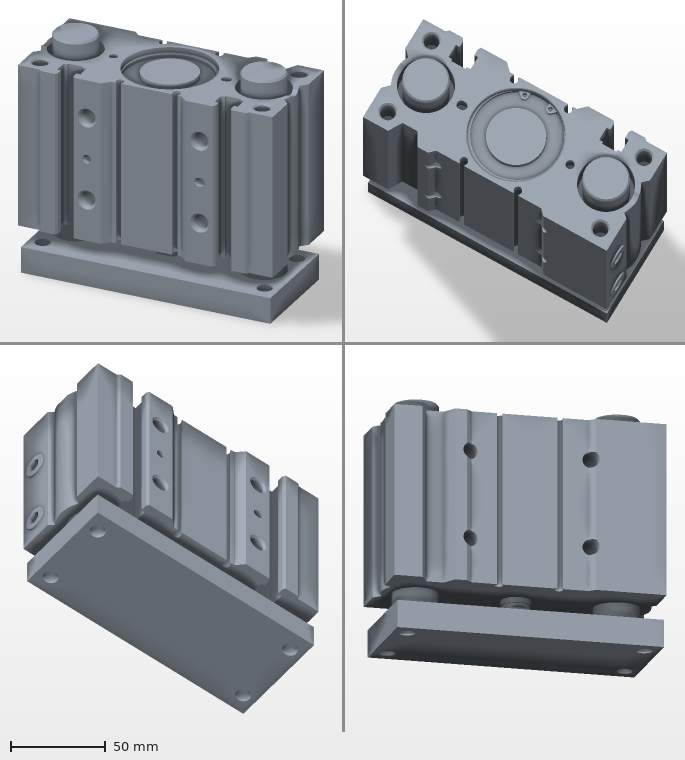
import cadquery as cq
import math


PLATE_THICKNESS = 15
STROKE_GAP = 13.0
HOUSING_HEIGHT = 94.0
GUIDE_ROD_PROTRUSION = 9.5
HOUSING_BOTTOM = PLATE_THICKNESS + STROKE_GAP
HOUSING_TOP = HOUSING_BOTTOM + HOUSING_HEIGHT

LEFT_X = -74.0
RIGHT_X = 75
FRONT_Y = -33
CORNER_Y = -31.5
BACK_Y = 32.0
PAD_OUTER_X = 61.5
PAD_BEVEL_X = 1.6
FRONT_PAD_INNER_X = 24.8
FRONT_RECESS_HALF = 20.5
FRONT_RECESS_Y = -28.8
BACK_PAD_INNER_X = 35.2
BACK_RECESS_HALF = 32.1
BACK_RECESS_Y = 28.8
SIDE_BULGE_RADIUS = 18.5

SLOT_X = 46.0
SLOT_NECK = 9
SLOT_MOUTH_BEVEL = 1.0
SLOT_MOUTH_BEVEL_DEPTH = 1.6
SLOT_HEAD = 13.5
SLOT_HEAD_FRONT_Y = -27.6
SLOT_HEAD_BACK_Y = -19.8
SLOT_FLOOR_Y = -18.6
DOVETAIL_X = 50.7
DOVETAIL_MOUTH = 17.8
DOVETAIL_FLOOR = 9.3
DOVETAIL_FLOOR_Y = 24.3
KEY_GROOVE_X = 16.5
KEY_GROOVE_Y = 26.4
KEY_GROOVE_DIAMETER = 4.5
KEY_GROOVE_MOUTH = 3

GUIDE_X = 55.0
GUIDE_ROD_DIAMETER = 25.0
GUIDE_ROD_BEVEL = 0.9
GUIDE_ROD_BEVEL_HEIGHT = 1.2
GUIDE_RELIEF_DIAMETER = 30.8
GUIDE_RELIEF_DEPTH = 15
NOTCH_WIDTH = 8.4
NOTCH_DEPTH = 1.2

HEAD_DIAMETER = 52.0
HEAD_RIM_BEVEL = 0.5
HEAD_DEPTH = 5.5
BOSS_DIAMETER = 32.0
BOSS_HEIGHT = 3.3
RING_THICKNESS = 2.0
RING_INNER_DIAMETER = 49.8
RING_OFFSET = 1.2
EAR_X = 7.8
EAR_Y = -22.6
EAR_RADIUS = 2.4
EAR_GAP_X = 5.7
EAR_HOLE_DIAMETER = 2.5

DRILL_TIP_ANGLE = 118
CORNER_HOLE_X = 65.0
CORNER_HOLE_Y = 23.0
CORNER_HOLE_DIAMETER = 8.4
CORNER_HOLE_MOUTH = 10.4
CORNER_HOLE_DEPTH = 18
LOCATING_X = 33
PIN_DIAMETER = 5.0
PIN_SLOT_LENGTH = 6
PIN_DEPTH = 7.5
SIDE_HOLE_MIDDLE = 48
SIDE_HOLE_PITCH = 48
SIDE_HOLE_DIAMETER = 8.5
SIDE_HOLE_MOUTH = 11.0

PLUG_Y = 21.5
PLUG_HEIGHTS = (15, 58.8)
PLUG_DIAMETER = 14.0
PLUG_PROTRUSION = 1.0
PLUG_BEVEL = 0.3
HEX_ACROSS_FLATS = 7.0
HEX_DEPTH = 5.2

PLATE_LENGTH = 146.0
PLATE_WIDTH = 60
PLATE_HOLE_DIAMETER = 8.5
PLATE_HOLE_Y = 20.0
PISTON_ROD_DIAMETER = 15.3
PISTON_COLLAR_DIAMETER = 16.5
PISTON_COLLAR_LENGTH = 2.8
FLAT_WIDTH = 12.8
FLAT_HEIGHT = 7.8
FLAT_RUNOUT = 1.2

SIDES = (-1, 1)


def cylinder(diameter, height, x, y, z):
    """Upright cylinder standing on z."""
    return cq.Workplane("XY", origin=(x, y, z)).circle(diameter / 2).extrude(height)


def cone_frustum(bottom_diameter, top_diameter, height, z):
    """Upright frustum about the Z axis, standing on z."""
    cone = cq.Solid.makeCone(bottom_diameter / 2, top_diameter / 2, height, cq.Vector(0, 0, z))
    return cq.Workplane(cone)


def full_height(sketch):
    """Extrude a sketch drawn on the housing bottom through the whole housing."""
    return sketch.extrude(HOUSING_HEIGHT)


def housing_sketch():
    return cq.Workplane("XY", origin=(0, 0, HOUSING_BOTTOM))


def bulge_x(y):
    """Distance from the cylinder axis to the rounded side wall at a given y."""
    return GUIDE_X + math.sqrt(SIDE_BULGE_RADIUS**2 - y**2)


def housing_block():
    right_mouth_y, right_root_y = 13.0, 9.0
    left_back_mouth_y, left_back_root_y = 11.1, 8.8
    left_front_mouth_y, left_front_root_y = -13.6, -10.2
    bulge_tip_x = bulge_x(0)
    outline = (
        housing_sketch()
        .moveTo(LEFT_X, CORNER_Y)
        .lineTo(-PAD_OUTER_X, CORNER_Y)
        .lineTo(PAD_BEVEL_X - PAD_OUTER_X, FRONT_Y)
        .lineTo(-FRONT_PAD_INNER_X, FRONT_Y)
        .lineTo(-FRONT_RECESS_HALF, FRONT_RECESS_Y)
        .lineTo(FRONT_RECESS_HALF, FRONT_RECESS_Y)
        .lineTo(FRONT_PAD_INNER_X, FRONT_Y)
        .lineTo(PAD_OUTER_X - PAD_BEVEL_X, FRONT_Y)
        .lineTo(PAD_OUTER_X, CORNER_Y)
        .lineTo(RIGHT_X, CORNER_Y)
        .lineTo(RIGHT_X, -right_mouth_y)
        .lineTo(bulge_x(right_root_y), -right_root_y)
        .threePointArc((bulge_tip_x, 0), (bulge_x(right_root_y), right_root_y))
        .lineTo(RIGHT_X, right_mouth_y)
        .lineTo(RIGHT_X, BACK_Y)
        .lineTo(BACK_PAD_INNER_X, BACK_Y)
        .lineTo(BACK_RECESS_HALF, BACK_RECESS_Y)
        .lineTo(-BACK_RECESS_HALF, BACK_RECESS_Y)
        .lineTo(-BACK_PAD_INNER_X, BACK_Y)
        .lineTo(LEFT_X, BACK_Y)
        .lineTo(LEFT_X, left_back_mouth_y)
        .lineTo(-bulge_x(left_back_root_y), left_back_root_y)
        .threePointArc((-bulge_tip_x, 0), (-bulge_x(left_front_root_y), left_front_root_y))
        .lineTo(LEFT_X, left_front_mouth_y)
        .close()
    )
    return full_height(outline)


def t_slot(x):
    """Sensor slot in the front face: bevelled mouth, wide head and a narrow floor."""
    neck = SLOT_NECK / 2
    mouth = neck + SLOT_MOUTH_BEVEL
    head = SLOT_HEAD / 2
    half = [
        (mouth, FRONT_Y),
        (neck, FRONT_Y + SLOT_MOUTH_BEVEL_DEPTH),
        (neck, SLOT_HEAD_FRONT_Y),
        (head, SLOT_HEAD_FRONT_Y),
        (head, SLOT_HEAD_BACK_Y),
        (neck, SLOT_HEAD_BACK_Y),
        (neck, SLOT_FLOOR_Y),
    ]
    mirrored = [(-dx, y) for dx, y in reversed(half)]
    points = [(x + dx, y) for dx, y in half + mirrored]
    return full_height(housing_sketch().polyline(points).close())


def dovetail_groove():
    points = [
        (DOVETAIL_X - DOVETAIL_MOUTH / 2, BACK_Y),
        (DOVETAIL_X + DOVETAIL_MOUTH / 2, BACK_Y),
        (DOVETAIL_X + DOVETAIL_FLOOR / 2, DOVETAIL_FLOOR_Y),
        (DOVETAIL_X - DOVETAIL_FLOOR / 2, DOVETAIL_FLOOR_Y),
    ]
    return full_height(housing_sketch().polyline(points).close())


def key_groove(x, side):
    """Round groove with a narrow mouth into the front (-1) or back (+1) recess."""
    y = side * KEY_GROOVE_Y
    mouth_length = BACK_Y - KEY_GROOVE_Y
    round_part = cylinder(KEY_GROOVE_DIAMETER, HOUSING_HEIGHT, x, y, HOUSING_BOTTOM)
    mouth_sketch = housing_sketch().center(x, y + side * mouth_length / 2)
    return round_part.union(full_height(mouth_sketch.rect(KEY_GROOVE_MOUTH, mouth_length)))


def guide_bore(side):
    """Sliding bore with a wider relief at the top and an arched notch to the side wall."""
    x = side * GUIDE_X
    bore = cylinder(GUIDE_ROD_DIAMETER, HOUSING_HEIGHT, x, 0, HOUSING_BOTTOM)
    relief = cylinder(GUIDE_RELIEF_DIAMETER, GUIDE_RELIEF_DEPTH, x, 0, HOUSING_TOP - GUIDE_RELIEF_DEPTH)
    notch = (
        cq.Workplane("YZ", origin=(x, 0, HOUSING_TOP))
        .moveTo(-NOTCH_WIDTH / 2, 0)
        .threePointArc((0, -NOTCH_DEPTH), (NOTCH_WIDTH / 2, 0))
        .close()
        .extrude(side * SIDE_BULGE_RADIUS)
    )
    return bore.union(relief).union(notch)


def head_recess():
    """Round recess in the top, bevelled at its rim, around the central boss."""
    floor_z = HOUSING_TOP - HEAD_DEPTH
    recess = cylinder(HEAD_DIAMETER, HEAD_DEPTH, 0, 0, floor_z)
    rim_diameter = HEAD_DIAMETER + 2 * HEAD_RIM_BEVEL
    rim = cone_frustum(HEAD_DIAMETER, rim_diameter, HEAD_RIM_BEVEL, HOUSING_TOP - HEAD_RIM_BEVEL)
    boss = cylinder(BOSS_DIAMETER, BOSS_HEIGHT, 0, 0, floor_z)
    return recess.union(rim).cut(boss)


def ring_ear(side):
    """Plier ear of the retaining ring, without its hole, running out past the bore wall."""
    arc_mid = EAR_RADIUS * math.sqrt(0.5)
    top_y = EAR_Y + EAR_RADIUS
    run = HEAD_DIAMETER / 2 + EAR_Y
    return (
        cq.Workplane("XY", origin=(0, 0, HOUSING_TOP - HEAD_DEPTH))
        .moveTo(side * EAR_GAP_X, -HEAD_DIAMETER / 2)
        .lineTo(side * EAR_GAP_X, EAR_Y)
        .threePointArc(
            (side * EAR_X, top_y),
            (side * (EAR_X + arc_mid), EAR_Y + arc_mid),
        )
        .lineTo(side * (EAR_X + arc_mid + run), EAR_Y + arc_mid - run)
        .lineTo(side * EAR_X, -HEAD_DIAMETER / 2)
        .close()
        .extrude(RING_THICKNESS)
    )


def retaining_ring():
    """Ring lying on the recess floor, thickest at the back and open at the front."""
    floor_z = HOUSING_TOP - HEAD_DEPTH
    bore_disc = cylinder(HEAD_DIAMETER, RING_THICKNESS, 0, 0, floor_z)
    ring = bore_disc.cut(cylinder(RING_INNER_DIAMETER, RING_THICKNESS, 0, -RING_OFFSET, floor_z))
    for side in SIDES:
        ear = ring_ear(side).intersect(bore_disc)
        ear = ear.cut(cylinder(EAR_HOLE_DIAMETER, RING_THICKNESS, side * EAR_X, EAR_Y, floor_z))
        ring = ring.union(ear)
    return ring


def drill_tip_height(diameter):
    return diameter / 2 / math.tan(math.radians(DRILL_TIP_ANGLE / 2))


def blind_hole(diameter, depth):
    """Drilled hole with a conical bottom, entering downwards at the origin."""
    tip = drill_tip_height(diameter)
    return cylinder(diameter, depth, 0, 0, -depth).union(cone_frustum(0, diameter, tip, -depth - tip))


def pin_slot():
    """Locating slot, a drilled hole widened along X, entering downwards at the origin."""
    slot = cq.Workplane("XY").slot2D(PIN_SLOT_LENGTH, PIN_DIAMETER).extrude(-PIN_DEPTH)
    return slot.union(blind_hole(PIN_DIAMETER, PIN_DEPTH))


def mouth_bevel(diameter, mouth_diameter):
    """Countersink, 45 degrees, entering downwards at the origin."""
    depth = (mouth_diameter - diameter) / 2
    return cone_frustum(diameter, mouth_diameter, depth, -depth)


def face_front(cutter):
    """Turn a cutter that enters downwards so that it enters the front face towards +Y."""
    return cutter.rotate((0, 0, 0), (1, 0, 0), 90)


def cut_top_holes(body):
    corner_hole = blind_hole(CORNER_HOLE_DIAMETER, CORNER_HOLE_DEPTH)
    corner_hole = corner_hole.union(mouth_bevel(CORNER_HOLE_DIAMETER, CORNER_HOLE_MOUTH))
    for side_x in SIDES:
        for side_y in SIDES:
            place = (side_x * CORNER_HOLE_X, side_y * CORNER_HOLE_Y, HOUSING_TOP)
            body = body.cut(corner_hole.translate(place))
    pin_hole = blind_hole(PIN_DIAMETER, PIN_DEPTH)
    body = body.cut(pin_hole.translate((-LOCATING_X, 0, HOUSING_TOP)))
    return body.cut(pin_slot().translate((LOCATING_X, 0, HOUSING_TOP)))


def cut_front_holes(body):
    middle_z = HOUSING_BOTTOM + SIDE_HOLE_MIDDLE
    through = cylinder(SIDE_HOLE_DIAMETER, BACK_Y - FRONT_Y, 0, 0, FRONT_Y - BACK_Y)
    mounting_hole = face_front(through.union(mouth_bevel(SIDE_HOLE_DIAMETER, SIDE_HOLE_MOUTH)))
    for side_x in SIDES:
        for side_z in SIDES:
            z = middle_z + side_z * SIDE_HOLE_PITCH / 2
            body = body.cut(mounting_hole.translate((side_x * LOCATING_X, FRONT_Y, z)))
    pin_hole = face_front(blind_hole(PIN_DIAMETER, PIN_DEPTH))
    body = body.cut(pin_hole.translate((-LOCATING_X, FRONT_Y, middle_z)))
    return body.cut(face_front(pin_slot()).translate((LOCATING_X, FRONT_Y, middle_z)))


def add_port_plug(body, height):
    """Plug head standing proud of the left face, with a hexagon socket."""
    face = cq.Workplane("YZ", origin=(LEFT_X, PLUG_Y, HOUSING_BOTTOM + height))
    head = face.circle(PLUG_DIAMETER / 2).extrude(-PLUG_PROTRUSION).faces("<X").chamfer(PLUG_BEVEL)
    socket = (
        cq.Workplane("YZ", origin=(LEFT_X - PLUG_PROTRUSION, PLUG_Y, HOUSING_BOTTOM + height))
        .polygon(6, HEX_ACROSS_FLATS, circumscribed=True)
        .extrude(HEX_DEPTH)
    )
    return body.union(head).cut(socket)


def make_housing():
    body = housing_block().cut(dovetail_groove()).cut(head_recess())
    for side in SIDES:
        body = body.cut(t_slot(side * SLOT_X)).cut(guide_bore(side))
        for groove_side in SIDES:
            body = body.cut(key_groove(side * KEY_GROOVE_X, groove_side))
    body = body.union(retaining_ring())
    body = cut_front_holes(cut_top_holes(body))
    for height in PLUG_HEIGHTS:
        body = add_port_plug(body, height)
    return body


def tooling_plate():
    holes = [(sx * CORNER_HOLE_X, sy * PLATE_HOLE_Y) for sx in SIDES for sy in SIDES]
    plate = cq.Workplane("XY").rect(PLATE_LENGTH, PLATE_WIDTH).extrude(PLATE_THICKNESS)
    return plate.faces(">Z").workplane().pushPoints(holes).hole(PLATE_HOLE_DIAMETER)


def guide_rod(side):
    length = HOUSING_TOP + GUIDE_ROD_PROTRUSION - PLATE_THICKNESS
    rod = cylinder(GUIDE_ROD_DIAMETER, length, side * GUIDE_X, 0, PLATE_THICKNESS)
    return rod.faces(">Z").edges().chamfer(GUIDE_ROD_BEVEL_HEIGHT, GUIDE_ROD_BEVEL)


def piston_rod():
    """Rod from the plate to the housing underside, with a collar and two wrench flats."""
    rod = cylinder(PISTON_ROD_DIAMETER, STROKE_GAP, 0, 0, PLATE_THICKNESS)
    collar_z = HOUSING_BOTTOM - PISTON_COLLAR_LENGTH
    collar = cylinder(PISTON_COLLAR_DIAMETER, PISTON_COLLAR_LENGTH, 0, 0, collar_z)
    flat_top = PLATE_THICKNESS + FLAT_HEIGHT
    rod_radius = PISTON_ROD_DIAMETER / 2
    for side in SIDES:
        flat_profile = [
            (side * FLAT_WIDTH / 2, PLATE_THICKNESS),
            (side * FLAT_WIDTH / 2, flat_top),
            (side * rod_radius, flat_top + FLAT_RUNOUT),
            (side * rod_radius, PLATE_THICKNESS),
        ]
        flat = cq.Workplane("YZ").polyline(flat_profile).close().extrude(rod_radius, both=True)
        rod = rod.cut(flat)
    return rod.union(collar)


def make_carriage():
    carriage = tooling_plate().union(piston_rod())
    for side in SIDES:
        carriage = carriage.union(guide_rod(side))
    return carriage


housing = make_housing()
carriage = make_carriage()
result = cq.Compound.makeCompound([housing.val(), carriage.val()])